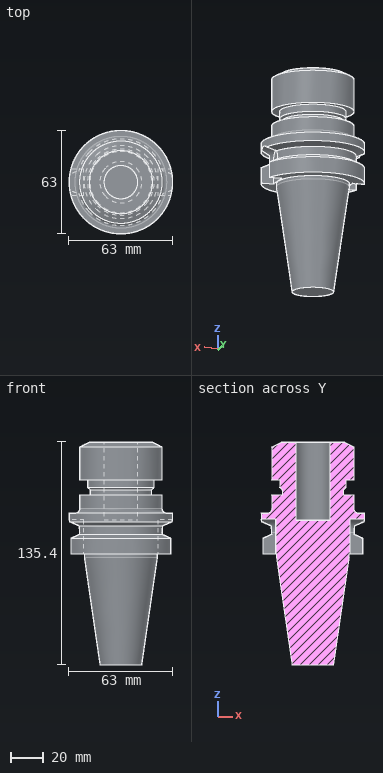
import cadquery as cq
import math

total_height = 135.4
gauge_z = 65.4
flange_bottom_z = 67.4
lower_rim_top_z = 77.0
upper_rim_bottom_z = 87.0
flange_top_z = 92.3
collar_top_z = 103.5
neck_top_z = 106.4
nut_bottom_z = 112.4
nut_chamfer_z = 132.4

gauge_radius = 22.2
flange_radius = 63.0 / 2
v_groove_radius = 26.4
collar_radius = 25.0
collar_fillet = 2.8
neck_radius = 18.7
thread_radius = 20.2
nut_radius = collar_radius
nut_face_radius = 19.2

taper_slope = 7 / 24 / 2
taper_end_radius = gauge_radius - gauge_z * taper_slope

groove_wall_height = 2.5
neck_step = thread_radius - neck_radius

bore_radius = 10.2
bore_depth = 47.4

slot_width = 16.1
slot_top_z = 88.5
slot_floor = 22.6


def turned_body():
    """Taper, grooved flange, collar, neck and clamping nut."""
    fillet_sag = collar_fillet * (1 - math.sqrt(0.5))
    return (
        cq.Workplane("XZ")
        .lineTo(taper_end_radius, 0)
        .lineTo(gauge_radius, gauge_z)
        .lineTo(gauge_radius, flange_bottom_z)
        .lineTo(flange_radius, flange_bottom_z)
        .lineTo(flange_radius, lower_rim_top_z)
        .lineTo(v_groove_radius, lower_rim_top_z + groove_wall_height)
        .lineTo(v_groove_radius, upper_rim_bottom_z - groove_wall_height)
        .lineTo(flange_radius, upper_rim_bottom_z)
        .lineTo(flange_radius, flange_top_z)
        .lineTo(collar_radius + collar_fillet, flange_top_z)
        .threePointArc(
            (collar_radius + fillet_sag, flange_top_z + fillet_sag),
            (collar_radius, flange_top_z + collar_fillet),
        )
        .lineTo(collar_radius, collar_top_z)
        .lineTo(neck_radius, collar_top_z)
        .lineTo(neck_radius, neck_top_z)
        .lineTo(thread_radius, neck_top_z + neck_step)
        .lineTo(thread_radius, nut_bottom_z)
        .lineTo(nut_radius, nut_bottom_z)
        .lineTo(nut_radius, nut_chamfer_z)
        .lineTo(nut_face_radius, total_height)
        .lineTo(0, total_height)
        .close()
        .revolve(360, (0, 0, 0), (0, 1, 0))
    )


def drive_slot(side):
    """Round-topped cutter for the slot on the side (+1 or -1) of X."""
    half_width = slot_width / 2
    arch_z = slot_top_z - half_width
    return (
        cq.Workplane("YZ", origin=(side * slot_floor, 0, 0))
        .moveTo(-half_width, flange_bottom_z)
        .lineTo(-half_width, arch_z)
        .threePointArc((0, slot_top_z), (half_width, arch_z))
        .lineTo(half_width, flange_bottom_z)
        .close()
        .extrude(side * flange_radius)
    )


def collet_bore():
    """Blind bore cutter sunk from the nut face."""
    return (
        cq.Workplane("XY", origin=(0, 0, total_height))
        .circle(bore_radius)
        .extrude(-bore_depth)
    )


result = turned_body().cut(collet_bore())
for side in (-1, 1):
    result = result.cut(drive_slot(side))